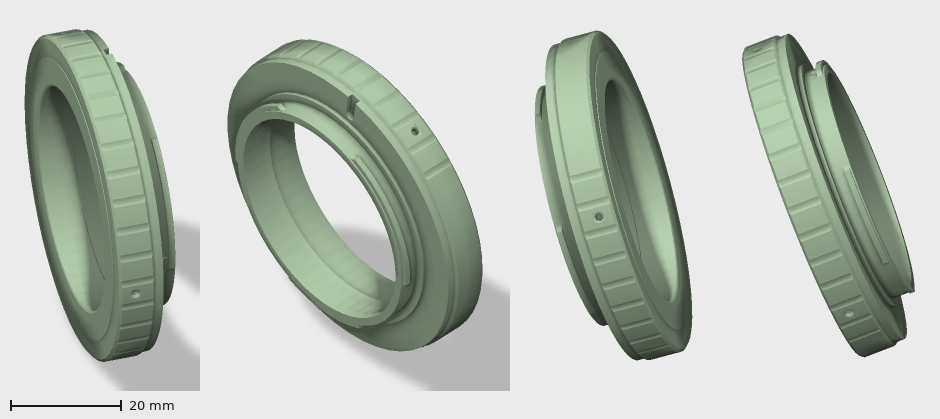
import cadquery as cq
import math


TOTAL_LENGTH = 13.0
GRIP_FRONT = 0.1
GRIP_REAR = 6.9
FLANGE_REAR = 8.5
SHOULDER_REAR = 9.25
INSERT_REAR = 6.5

GRIP_RADIUS = 30.0
FLANGE_RADIUS = 29.5
SHOULDER_RADIUS = 23.45
TUBE_RADIUS = 21.9
REAR_BORE_RADIUS = 20.35
GRIP_CHAMFER = GRIP_RADIUS - FLANGE_RADIUS

INSERT_RADIUS = 26.05
INSERT_BORE_RADIUS = 20.7
INSERT_CHAMFER_RADIAL = 0.35
INSERT_CHAMFER_AXIAL = 0.2

GROOVE_PITCH = 10
GROOVE_LAST_ANGLE = 135
GROOVE_WIDTH = 1.5
GROOVE_DEPTH = 0.2

LUG_SPANS = [(110, 185.5), (240, 295.5), (-7.5, 63)]
LUG_RADIUS = 22.85
LUG_THICKNESS = 1.0
LUG_SETBACK = 0.3
LUG_REAR = TOTAL_LENGTH - LUG_SETBACK
LUG_FRONT = LUG_REAR - LUG_THICKNESS
LUG_RUNOUT_RADIUS = 1.5

STOP_PIN_RADIUS = 0.65
STOP_PIN_TIP = 22.2
STOP_PIN_ANGLE = 0

SLOT_ANGLE = 97.3
SLOT_WIDTH = 2.05
SLOT_DEPTH = 1.1
SLOT_FLOOR_RADIUS = 24.3

SCREW_ANGLES = [0, 120, 240]
SCREW_Y = 3.1
SCREW_RADIUS = 1.4
SCREW_TOP = 29.95
SOCKET_MOUTH_RADIUS = 0.95
SOCKET_MOUTH_DEPTH = 0.25
SOCKET_ACROSS_FLATS = 1.3
SOCKET_DEPTH = 1.5


def polar(radius, angle):
    """The X and Z of a point about the optical axis."""
    return radius * math.cos(math.radians(angle)), radius * math.sin(math.radians(angle))


def disc(radius, front, rear):
    """A solid cylinder about the optical axis."""
    plane = cq.Plane(origin=(0, front, 0), xDir=(0, 0, 1), normal=(0, 1, 0))
    return cq.Workplane(plane).circle(radius).extrude(rear - front)


def rod_along_axis(radius, x, z, front, rear):
    """A cylinder parallel to the optical axis."""
    return cq.Workplane("XZ", origin=(x, front, z)).circle(radius).extrude(front - rear)


def radial_plane(angle, radius, y):
    """A workplane facing outwards at the given angle and radius."""
    x, z = polar(1, angle)
    direction = cq.Vector(x, 0, z)
    origin = direction * radius + cq.Vector(0, y, 0)
    return cq.Workplane(cq.Plane(origin=origin, xDir=(0, 1, 0), normal=direction))


def radial_rod(angle, radius, inner, outer, y):
    """A cylinder along a radius, between two distances from the optical axis."""
    return radial_plane(angle, inner, y).circle(radius).extrude(outer - inner)


def make_grip():
    """The grip ring, chamfered on both rims and grooved along the axis."""
    grip = disc(GRIP_RADIUS, GRIP_FRONT, GRIP_REAR).edges().chamfer(GRIP_CHAMFER)
    half_width = GROOVE_WIDTH / 2
    cutter_radius = (half_width**2 + GROOVE_DEPTH**2) / (2 * GROOVE_DEPTH)
    cutter_distance = GRIP_RADIUS - GROOVE_DEPTH + cutter_radius
    for angle in range(-GROOVE_LAST_ANGLE, GROOVE_LAST_ANGLE + 1, GROOVE_PITCH):
        x, z = polar(cutter_distance, angle)
        grip = grip.cut(rod_along_axis(cutter_radius, x, z, GRIP_FRONT, GRIP_REAR))
    return grip


def make_lug(start, end):
    """A bayonet lug whose two ends run out onto the tube in a concave arc."""
    runout_distance = TUBE_RADIUS + LUG_RUNOUT_RADIUS
    middle = (start + end) / 2
    sector = (
        cq.Workplane("XZ", origin=(0, LUG_FRONT, 0))
        .moveTo(*polar(REAR_BORE_RADIUS, start))
        .lineTo(*polar(LUG_RADIUS, start))
        .threePointArc(polar(LUG_RADIUS, middle), polar(LUG_RADIUS, end))
        .lineTo(*polar(REAR_BORE_RADIUS, end))
        .threePointArc(polar(REAR_BORE_RADIUS, middle), polar(REAR_BORE_RADIUS, start))
        .close()
        .extrude(-LUG_THICKNESS)
    )
    for angle in (start, end):
        x, z = polar(runout_distance, angle)
        sector = sector.cut(rod_along_axis(LUG_RUNOUT_RADIUS, x, z, LUG_FRONT, LUG_REAR))
    return sector


def make_slot_cutter():
    """The round-floored radial slot, open towards the rim and the rear of the flange."""
    floor_center = SLOT_FLOOR_RADIUS + SLOT_WIDTH / 2
    slot_length = 2 * (GRIP_RADIUS - floor_center) + SLOT_WIDTH
    slot = (
        cq.Workplane("XZ", origin=(0, FLANGE_REAR - SLOT_DEPTH, 0))
        .center(GRIP_RADIUS, 0)
        .slot2D(slot_length, SLOT_WIDTH)
        .extrude(-SLOT_DEPTH)
    )
    return slot.rotate((0, 0, 0), (0, -1, 0), SLOT_ANGLE)


def make_mount():
    """The grip, flange and bayonet tube in one piece."""
    mount = make_grip()
    mount = mount.union(disc(FLANGE_RADIUS, GRIP_REAR, FLANGE_REAR))
    mount = mount.union(disc(SHOULDER_RADIUS, FLANGE_REAR, SHOULDER_REAR))
    mount = mount.union(disc(TUBE_RADIUS, SHOULDER_REAR, TOTAL_LENGTH))

    for start, end in LUG_SPANS:
        mount = mount.union(make_lug(start, end))

    stop_pin_y = LUG_FRONT - STOP_PIN_RADIUS
    stop_pin = radial_rod(
        STOP_PIN_ANGLE, STOP_PIN_RADIUS, REAR_BORE_RADIUS, STOP_PIN_TIP, stop_pin_y
    )
    mount = mount.union(stop_pin)

    mount = mount.cut(make_slot_cutter())
    mount = mount.cut(disc(INSERT_RADIUS, 0, INSERT_REAR))
    mount = mount.cut(disc(REAR_BORE_RADIUS, 0, TOTAL_LENGTH))
    for angle in SCREW_ANGLES:
        mount = mount.cut(radial_rod(angle, SCREW_RADIUS, REAR_BORE_RADIUS, GRIP_RADIUS, SCREW_Y))
    return mount


def make_insert():
    """The plain ring seated in the front of the mount."""
    mouth_radius = INSERT_BORE_RADIUS + INSERT_CHAMFER_RADIAL
    return (
        cq.Workplane("XY")
        .moveTo(mouth_radius, 0)
        .lineTo(INSERT_RADIUS, 0)
        .lineTo(INSERT_RADIUS, INSERT_REAR)
        .lineTo(INSERT_BORE_RADIUS, INSERT_REAR)
        .lineTo(INSERT_BORE_RADIUS, INSERT_CHAMFER_AXIAL)
        .close()
        .revolve(360, (0, 0, 0), (0, 1, 0))
    )


def make_screw(angle):
    """A socket set screw that bears on the outside of the insert ring."""
    screw = radial_rod(angle, SCREW_RADIUS, REAR_BORE_RADIUS, SCREW_TOP, SCREW_Y)
    socket = (
        radial_plane(angle, SCREW_TOP, SCREW_Y)
        .polygon(6, SOCKET_ACROSS_FLATS, circumscribed=True)
        .extrude(-SOCKET_DEPTH)
    )
    socket_mouth = (
        radial_plane(angle, SCREW_TOP, SCREW_Y)
        .circle(SOCKET_MOUTH_RADIUS)
        .workplane(offset=-SOCKET_MOUTH_DEPTH)
        .circle(SOCKET_ACROSS_FLATS / 2)
        .loft()
    )
    return screw.cut(socket).cut(socket_mouth).cut(disc(INSERT_RADIUS, 0, INSERT_REAR))


mount = make_mount()
insert = make_insert()
screws = [make_screw(angle) for angle in SCREW_ANGLES]

result = cq.Compound.makeCompound([mount.val(), insert.val(), *[screw.val() for screw in screws]])